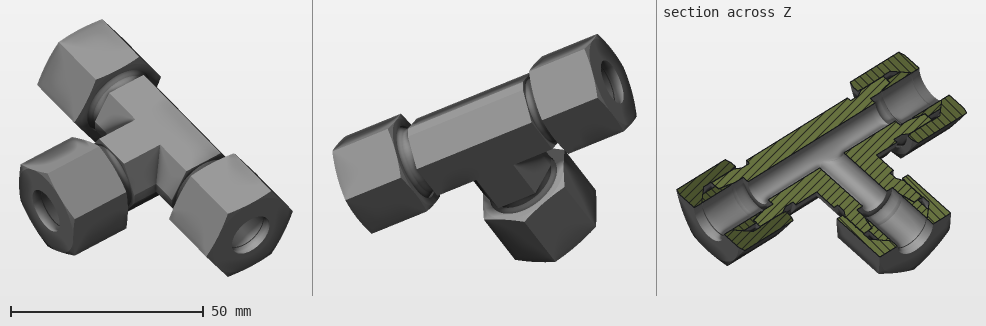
import cadquery as cq
import math


RUN_PORT_ANGLES = [0, 180]
BRANCH_PORT_ANGLE = 270
PORT_ANGLES = [*RUN_PORT_ANGLES, BRANCH_PORT_ANGLE]

ARM_REACH = 17.1
ARM_HEIGHT = 19.0
ARM_WIDTH = 20.2
SIDE_FLAT_HEIGHT = 3.0
DRAFT_ANGLE = 30.0

TUBE_RADIUS = 6.0

NECK_DIAMETER = 17.7
NECK_END = 19.5
NECK_FLARE_ANGLE = 30.0
THREAD_RADIUS = 10.0
PORT_END = 29.0
FLOW_RADIUS = 4.0
SOCKET_BOTTOM = 21.5
CONE_MOUTH_RADIUS = 7.0
CONE_HALF_ANGLE = 12.0

NUT_START = 20.5
NUT_END = 38.0
NUT_SIDES = 6
NUT_ACROSS_FLATS = 24.0
NUT_CHAMFER_ANGLE = 15.0
NUT_LIP = 2.6
BRANCH_NUT_TURN = 30

RING_COLLAR_RADIUS = 8.35
RING_BACK_GAP = 0.3
RING_NOSE_RADIUS = 6.2

NECK_RADIUS = NECK_DIAMETER / 2
CONE_SLOPE = math.tan(math.radians(CONE_HALF_ANGLE))
CONE_BOTTOM = PORT_END - (CONE_MOUTH_RADIUS - TUBE_RADIUS) / CONE_SLOPE
RING_NOSE = PORT_END - (CONE_MOUTH_RADIUS - RING_NOSE_RADIUS) / CONE_SLOPE
LIP_START = NUT_END - NUT_LIP
RING_BACK = LIP_START - RING_BACK_GAP
RING_BACK_RADIUS = TUBE_RADIUS + RING_BACK_GAP
THREAD_START = NECK_END + (THREAD_RADIUS - NECK_RADIUS) / math.tan(math.radians(NECK_FLARE_ANGLE))


def revolve_about_x(points):
    """Turn a closed outline of (distance along X, radius) points about the X axis."""
    return cq.Workplane("XY").polyline(points).close().revolve(360, (0, 0, 0), (1, 0, 0))


def to_port(shape, angle):
    """Swing a shape made on the +X axis round to a port."""
    return shape.rotate((0, 0, 0), (0, 0, 1), angle)


def make_arm(start, end):
    """Bar along X with slanted sides that meet a narrow upright flat at mid height."""
    half_width = ARM_WIDTH / 2
    half_height = ARM_HEIGHT / 2
    half_flat = SIDE_FLAT_HEIGHT / 2
    half_top = half_width - (half_height - half_flat) * math.tan(math.radians(DRAFT_ANGLE))
    outline = [
        (half_width, half_flat),
        (half_top, half_height),
        (-half_top, half_height),
        (-half_width, half_flat),
        (-half_width, -half_flat),
        (-half_top, -half_height),
        (half_top, -half_height),
        (half_width, -half_flat),
    ]
    section = cq.Workplane("YZ").workplane(offset=start).polyline(outline).close()
    return section.extrude(end - start)


def make_port_end():
    """Relieved neck that flares out to the threaded end."""
    return revolve_about_x([
        (0, 0),
        (0, NECK_RADIUS),
        (NECK_END, NECK_RADIUS),
        (THREAD_START, THREAD_RADIUS),
        (PORT_END, THREAD_RADIUS),
        (PORT_END, 0),
    ])


def make_port_bore():
    """Flow passage, tube socket and the cone that receives the cutting ring."""
    return revolve_about_x([
        (0, 0),
        (0, FLOW_RADIUS),
        (SOCKET_BOTTOM, FLOW_RADIUS),
        (SOCKET_BOTTOM, TUBE_RADIUS),
        (CONE_BOTTOM, TUBE_RADIUS),
        (PORT_END, CONE_MOUTH_RADIUS),
        (PORT_END, 0),
    ])


def make_tee():
    run = make_arm(-ARM_REACH, ARM_REACH)
    branch = to_port(make_arm(0, ARM_REACH), BRANCH_PORT_ANGLE)
    tee = run.union(branch)
    for angle in PORT_ANGLES:
        tee = tee.union(to_port(make_port_end(), angle))
    for angle in PORT_ANGLES:
        tee = tee.cut(to_port(make_port_bore(), angle))
    return tee.solids()


def make_nut(turn):
    """Chamfered hexagon nut on +X; two corners lie in the XY plane before it turns about its own axis."""
    flat_radius = NUT_ACROSS_FLATS / 2
    corner_radius = flat_radius / math.cos(math.pi / NUT_SIDES)
    chamfer = (corner_radius - flat_radius) * math.tan(math.radians(NUT_CHAMFER_ANGLE))
    hexagon = (
        cq.Workplane("YZ")
        .workplane(offset=NUT_START)
        .polygon(NUT_SIDES, 2 * corner_radius)
        .extrude(NUT_END - NUT_START)
    )
    chamfered_envelope = revolve_about_x([
        (NUT_START, 0),
        (NUT_START, flat_radius),
        (NUT_START + chamfer, corner_radius),
        (NUT_END - chamfer, corner_radius),
        (NUT_END, flat_radius),
        (NUT_END, 0),
    ])
    cavity = revolve_about_x([
        (NUT_START, 0),
        (NUT_START, THREAD_RADIUS),
        (LIP_START - (THREAD_RADIUS - TUBE_RADIUS), THREAD_RADIUS),
        (LIP_START, TUBE_RADIUS),
        (NUT_END, TUBE_RADIUS),
        (NUT_END, 0),
    ])
    nut = hexagon.intersect(chamfered_envelope).cut(cavity)
    return nut.rotate((0, 0, 0), (1, 0, 0), turn)


def make_cutting_ring():
    """Ring with a tapered nose in the tee's cone and a collar between the tee and the nut."""
    return revolve_about_x([
        (RING_NOSE, TUBE_RADIUS),
        (RING_NOSE, RING_NOSE_RADIUS),
        (PORT_END, CONE_MOUTH_RADIUS),
        (PORT_END, RING_COLLAR_RADIUS),
        (RING_BACK - (RING_COLLAR_RADIUS - RING_BACK_RADIUS), RING_COLLAR_RADIUS),
        (RING_BACK, RING_BACK_RADIUS),
        (RING_BACK, TUBE_RADIUS),
    ])


tee = make_tee()
nuts = [to_port(make_nut(0), angle) for angle in RUN_PORT_ANGLES]
nuts.append(to_port(make_nut(BRANCH_NUT_TURN), BRANCH_PORT_ANGLE))
cutting_rings = [to_port(make_cutting_ring(), angle) for angle in PORT_ANGLES]

result = cq.Compound.makeCompound([
    tee.val(),
    *[nut.val() for nut in nuts],
    *[ring.val() for ring in cutting_rings],
])